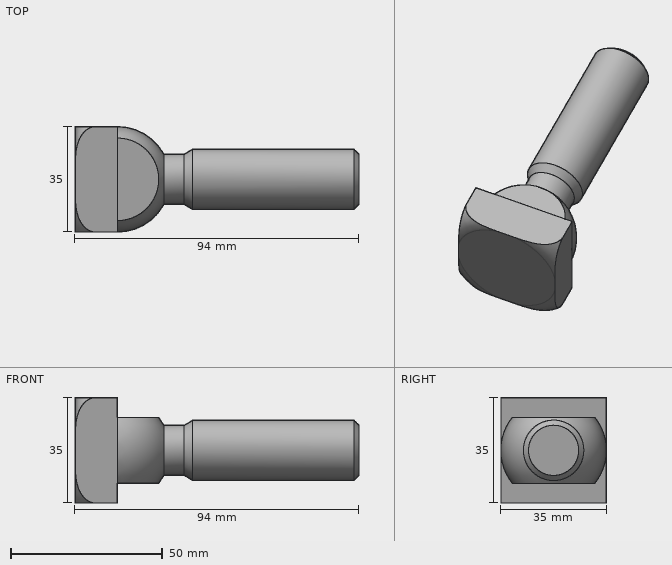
import cadquery as cq
import math

total_length = 94.0
head_width = 35.0
head_thickness = 14.0
corner_round_radius = 7.0

ball_radius = head_width / 2
ball_flat_height = 21.8

neck_diameter = 16.6
shank_diameter = 20.0
neck_end = 36.1
shank_start = 38.9
tip_chamfer = 1.7


def make_head():
    """Square block whose corners are rounded by a round envelope."""
    block = cq.Workplane("YZ").rect(head_width, head_width).extrude(head_thickness)
    corner_reach = head_width / math.sqrt(2)
    envelope = (
        cq.Workplane("YZ")
        .circle(corner_reach)
        .extrude(head_thickness)
        .faces("<X")
        .edges()
        .fillet(corner_round_radius)
    )
    return block.intersect(envelope)


def make_ball():
    """Half ball centred on the back of the head, with flats at +Z and -Z."""
    ball = cq.Workplane("XY").sphere(ball_radius)
    limits = cq.Workplane("XY").box(
        ball_radius, head_width, ball_flat_height, centered=(False, True, True)
    )
    return ball.intersect(limits).translate((head_thickness, 0, 0))


def make_shank():
    """Neck, cone and plain shank with a chamfered tip."""
    neck_radius = neck_diameter / 2
    shank_radius = shank_diameter / 2
    return (
        cq.Workplane("XY")
        .moveTo(head_thickness, 0)
        .lineTo(head_thickness, neck_radius)
        .lineTo(neck_end, neck_radius)
        .lineTo(shank_start, shank_radius)
        .lineTo(total_length - tip_chamfer, shank_radius)
        .lineTo(total_length, shank_radius - tip_chamfer)
        .lineTo(total_length, 0)
        .close()
        .revolve(360, (0, 0, 0), (1, 0, 0))
    )


result = make_head().union(make_ball()).union(make_shank())